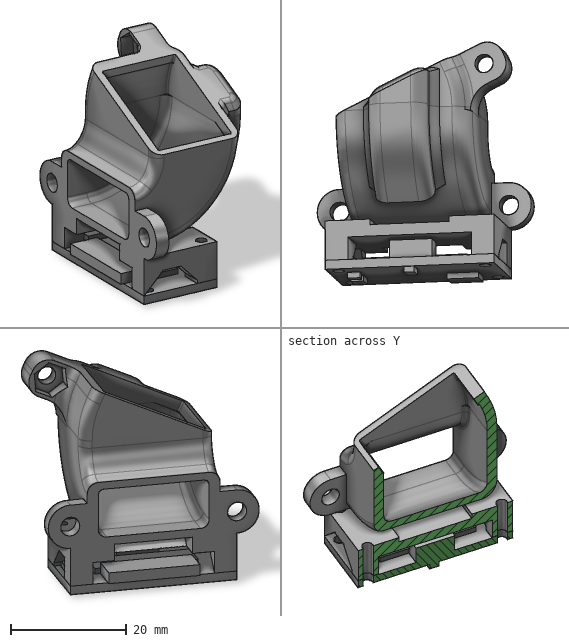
import cadquery as cq
import math


base_length = 29.95
base_width = 15.0
base_height = 7.0
screw_offset = 13.0
screw_inset = 2.0
screw_diameter = 2.0

cavity_half_length = 10.95
cavity_height = 3.98
window_front = 3.98
window_back = 10.93
window_back_height = 0.62
slot_half_length = 7.02
slot_floor = 6.0

flange_thickness = 2.58
ear_offset = 15.02
ear_radius = 3.98
ear_height = base_height + ear_radius
ear_hole_diameter = 3.4

wall = 1.5
duct_half_width = 11.98
bore_half_width = 10.0
duct_front = 4.0
duct_back = 22.0
throat_top = 18.65
throat_start = 23.6
throat_radius = 5.6
throat_blend_radius = 3.0
bend_y = duct_front
bend_z = base_height + duct_back - bend_y
front_rounding = 2.0
back_rounding = 3.0
bore_front_rounding = 1.0
bore_back_rounding = 1.52
bore_front_top = 17.32

mouth_angle = 25.0
pivot_x = 5.55
mouth_depth = 2.03
mouth_left = -9.7
mouth_right = 10.57
mouth_corner_radius = 0.3
bore_front = duct_front + wall
bore_back = duct_back - wall
bore_bottom = base_height + wall
bore_throat_radius = 6.32

lug_front = 15.5
lug_back = 20.5
lug_height = 7.0
lug_corner_radius = 3.0
lug_hole_diameter = 3.2
lug_hole_distance = 21.25
lug_end_distance = 25.05
lug_blend_radius = 5.0
lug_side_rounding = 2.0
nut_width = 5.6
nut_depth = 2.5
lug_root_distance = 14.05

rail_half_width = 5.23
rail_foot_half_width = 6.75
rail_back = 27.08
rail_neck_back = 23.6
rail_corner_radius = 2.5
rail_top_chamfer = 1.2
rail_top_rounding = 2.0
rail_sweep_angle = 45.0
rail_sink = 0.78

board_thickness = 1.6
chip_height = 1.0
board_parts = [
    (-8.25, 8.25, -0.5, 5.0, 2.0),
    (-3.8, 3.8, 10.55, 14.05, 3.28),
    (-9.25, 9.35, 5.0, 10.55, 1.0),
    (-13.9, -11.5, 5.23, 10.15, 1.0),
]
chips = [
    (-10.6, -5.0, 3.45, 7.25),
    (-0.75, 1.1, 11.9, 14.67),
    (9.55, 11.8, 9.9, 11.47),
    (9.55, 11.8, 5.07, 8.3),
]

tilt = math.radians(mouth_angle)
tilt_sin = math.sin(tilt)
tilt_cos = math.cos(tilt)
tolerance = 0.005
reach = 46.82


def box(x0, x1, y0, y1, z0, z1):
    return cq.Workplane("XY").box(x1 - x0, y1 - y0, z1 - z0, centered=False).translate((x0, y0, z0))


def across_x(profile, x0, x1):
    """Extrude a closed YZ profile from x0 to x1."""
    return profile.extrude(x1 - x0).translate((x0, 0, 0))


def along_y(profile, y0, y1):
    """Extrude a closed XZ profile from y0 to y1."""
    return profile.extrude(y0 - y1).translate((0, y0, 0))


def leaning(u, v):
    """XZ point at distance u along the mouth plane and v square to it, from the pivot."""
    return (pivot_x + u * tilt_cos + v * tilt_sin, bend_z - u * tilt_sin + v * tilt_cos)


def leaning_plane():
    return cq.Plane((pivot_x, 0, bend_z), (tilt_cos, 0, -tilt_sin), (tilt_sin, 0, tilt_cos))


def above_mouth():
    """Everything beyond the sloping mouth plane."""
    return cq.Workplane(leaning_plane()).workplane(offset=mouth_depth).rect(4 * reach, 4 * reach).extrude(reach)


def turned(section):
    """Turn a closed section, drawn at bend_z left of the pivot, about the pivot by mouth_angle."""
    face = cq.Face.makeFromWires(section.val())
    axis_start = cq.Vector(pivot_x, 0, bend_z)
    axis_end = cq.Vector(pivot_x, 0.4, bend_z)
    return cq.Workplane(cq.Solid.revolve(face, mouth_angle, axis_start, axis_end))


def bent_upwards(section):
    """Turn a section about the pivot and carry it straight on to the mouth plane."""
    face = cq.Face.makeFromWires(section.val())
    axis_start = cq.Vector(pivot_x, 0, bend_z)
    axis_end = cq.Vector(pivot_x, 0.4, bend_z)
    leaning_face = face.rotate(axis_start, axis_end, mouth_angle)
    straight = cq.Solid.extrudeLinear(leaning_face, leaning_plane().zDir * mouth_depth)
    return turned(section).union(cq.Workplane(straight))


def bend_workplane():
    return cq.Workplane("XY", origin=(0, 0, bend_z))


def half_section(side_x, front, back, front_radius, back_radius):
    """Section at bend_z from the pivot to a side wall, with the two corners at that wall rounded."""
    inward = math.copysign(1, pivot_x - side_x)
    return (
        bend_workplane()
        .moveTo(pivot_x, front)
        .lineTo(side_x + inward * front_radius, front)
        .radiusArc((side_x, front + front_radius), inward * front_radius)
        .lineTo(side_x, back - back_radius)
        .radiusArc((side_x + inward * back_radius, back), inward * back_radius)
        .lineTo(pivot_x, back)
        .close()
    )


def throat_points():
    """Ends of the two tangent arcs of the throat, from the front face to the straight front wall."""
    main_y = duct_front - throat_radius
    drop = throat_start - throat_top - throat_blend_radius
    spread = throat_radius - throat_blend_radius
    blend_y = main_y + math.sqrt(spread**2 - drop**2)
    meet_y = main_y + throat_radius * (blend_y - main_y) / spread
    meet_z = throat_start - throat_radius * drop / spread
    return (blend_y, throat_top), (meet_y, meet_z), (duct_front, throat_start)


def round_side_edges(elbow, side_x, radius, on_curve):
    """Round the edges along one side of an elbow whose (y, z) middle point is on the wanted curve."""
    edges = []
    for edge in elbow.edges().vals():
        centre = edge.Center()
        if abs(centre.x - side_x) < tolerance and on_curve(centre.y, centre.z):
            edges.append(edge)
    return elbow.newObject(edges).fillet(radius)


def on_outer_front_curve(y, z):
    return y < duct_front + tolerance and z > throat_top - tolerance


def on_bore_front_curve(y, z):
    return 0 < y < bore_front + tolerance and z > bore_front_top


def on_back_curve(y, z):
    on_bottom = y < bend_y and z < bore_bottom + tolerance
    return z < bend_z - tolerance and (on_bottom or y > bore_front + tolerance)


def outer_elbow():
    """Outside of the duct from the front face up to the bend."""
    blend_start, blend_end, throat_end = throat_points()
    profile = (
        cq.Workplane("YZ")
        .moveTo(0, base_height)
        .lineTo(0, throat_top)
        .lineTo(*blend_start)
        .radiusArc(blend_end, -throat_blend_radius)
        .radiusArc(throat_end, -throat_radius)
        .lineTo(duct_front, bend_z)
        .lineTo(duct_back, bend_z)
        .radiusArc((bend_y, base_height), duct_back - bend_y)
        .close()
    )
    elbow = across_x(profile, -duct_half_width, duct_half_width)
    for side_x in (-duct_half_width, duct_half_width):
        elbow = round_side_edges(elbow, side_x, front_rounding, on_outer_front_curve)
    elbow = round_side_edges(elbow, -duct_half_width, back_rounding, on_back_curve)
    return round_side_edges(elbow, duct_half_width, front_rounding, on_back_curve)


def outer_mouth():
    """Outside of the duct above the bend: the left half leans over, the right half stays upright."""
    left_section = half_section(-duct_half_width, duct_front, duct_back, front_rounding, back_rounding)
    right_section = half_section(duct_half_width, duct_front, duct_back, front_rounding, front_rounding)
    return bent_upwards(left_section).union(right_section.extrude(mouth_depth))


def bore_elbow():
    """Inside of the duct from the front face up to the bend."""
    profile = (
        cq.Workplane("YZ")
        .moveTo(0, bore_bottom)
        .lineTo(0, bore_front_top)
        .radiusArc((bore_front, throat_start), -bore_throat_radius)
        .lineTo(bore_front, bend_z)
        .lineTo(bore_back, bend_z)
        .radiusArc((bend_y, bore_bottom), bore_back - bend_y)
        .close()
    )
    elbow = across_x(profile, -bore_half_width, bore_half_width)
    for side_x in (-bore_half_width, bore_half_width):
        elbow = round_side_edges(elbow, side_x, bore_front_rounding, on_bore_front_curve)
        elbow = round_side_edges(elbow, side_x, bore_back_rounding, on_back_curve)
    return elbow


def bore_mouth():
    """Leaning rectangular opening, with the bend that leads into it."""
    bend_section = half_section(-bore_half_width, bore_front, bore_back, mouth_corner_radius, mouth_corner_radius)
    mouth_length = mouth_right - mouth_left
    opening = (
        cq.Workplane(leaning_plane())
        .center(mouth_right - pivot_x - mouth_length / 2, (bore_front + bore_back) / 2)
        .rect(mouth_length, bore_back - bore_front)
        .extrude(mouth_depth)
        .edges("#Y").edges(cq.selectors.ParallelDirSelector(leaning_plane().zDir))
        .fillet(mouth_corner_radius)
    )
    return turned(bend_section).union(opening)


def lug_profile():
    """Lug outline: a rounded end, and an arc that blends the underside into the duct wall."""
    top = mouth_depth
    bottom = mouth_depth - lug_height
    arc_x = -duct_half_width - lug_blend_radius
    arc_v = bottom - lug_blend_radius
    arc_z = bend_z + (arc_v - (arc_x - pivot_x) * tilt_sin) / tilt_cos
    arc_start = (arc_x + lug_blend_radius * tilt_sin, arc_z + lug_blend_radius * tilt_cos)
    arc_end = (-duct_half_width, arc_z)
    root_x = -duct_half_width + wall
    end_u = -lug_end_distance
    corner_u = end_u + lug_corner_radius
    return (
        cq.Workplane("XZ")
        .moveTo(*leaning(-lug_root_distance, top))
        .lineTo(*leaning(corner_u, top))
        .radiusArc(leaning(end_u, top - lug_corner_radius), -lug_corner_radius)
        .lineTo(*leaning(end_u, bottom + lug_corner_radius))
        .radiusArc(leaning(corner_u, bottom), -lug_corner_radius)
        .lineTo(*arc_start)
        .radiusArc(arc_end, lug_blend_radius)
        .lineTo(root_x, arc_z)
        .lineTo(root_x, bend_z)
        .close()
    )


def lug_side_fillets():
    """Concave blends of the lug's front and back faces into the duct wall and its rounded back corner."""
    wall_x = -duct_half_width
    r = lug_side_rounding
    front_section = (
        bend_workplane()
        .moveTo(wall_x - r, lug_front)
        .radiusArc((wall_x, lug_front - r), r)
        .lineTo(wall_x + wall, lug_front - r)
        .lineTo(wall_x + wall, lug_front + wall)
        .lineTo(wall_x - r, lug_front + wall)
        .close()
    )
    corner_x = wall_x + back_rounding
    corner_y = duct_back - back_rounding
    rise = lug_back + r - corner_y
    run = math.sqrt((r + back_rounding) ** 2 - rise**2)
    share = back_rounding / (r + back_rounding)
    tangent_x = corner_x - run * share
    tangent_y = corner_y + rise * share
    back_section = (
        bend_workplane()
        .moveTo(corner_x - run, lug_back)
        .radiusArc((tangent_x, tangent_y), -r)
        .lineTo(tangent_x, lug_back - wall)
        .lineTo(corner_x - run, lug_back - wall)
        .close()
    )
    blends = bent_upwards(front_section).union(bent_upwards(back_section))
    for section in (front_section, back_section):
        face = cq.Face.makeFromWires(section.val())
        blends = blends.union(cq.Workplane(cq.Solid.extrudeLinear(face, cq.Vector(0, 0, -wall))))
    return blends.intersect(along_y(lug_profile(), duct_front, duct_back))


def lug():
    return along_y(lug_profile(), lug_front, lug_back).union(lug_side_fillets())


def lug_hole_and_nut_pocket():
    """Screw hole through the lug, and the hexagonal pocket in its front with room to insert the nut."""
    hole_v = mouth_depth - lug_height / 2
    plane = cq.Plane((pivot_x, lug_front, bend_z), (tilt_cos, 0, -tilt_sin), (0, -1, 0))
    across_corners = nut_width / math.cos(math.pi / 6)
    centred = cq.Workplane(plane).center(-lug_hole_distance, hole_v)
    hole = centred.circle(lug_hole_diameter / 2).extrude(-(lug_back - lug_front))
    pocket = centred.polygon(6, across_corners).extrude(-nut_depth)
    clearance = centred.polygon(6, across_corners).extrude(lug_side_rounding)
    return hole.union(pocket).union(clearance)


def rail_section():
    """Rounded head on a foot that flares out at the duct wall and is sunk into it."""
    r = rail_corner_radius
    root_y = duct_back - rail_sink
    return (
        bend_workplane()
        .moveTo(-rail_foot_half_width, root_y)
        .lineTo(-rail_foot_half_width, duct_back)
        .lineTo(-rail_half_width, rail_neck_back)
        .lineTo(-rail_half_width, rail_back - r)
        .radiusArc((-rail_half_width + r, rail_back), r)
        .lineTo(rail_half_width - r, rail_back)
        .radiusArc((rail_half_width, rail_back - r), r)
        .lineTo(rail_half_width, rail_neck_back)
        .lineTo(rail_foot_half_width, duct_back)
        .lineTo(rail_foot_half_width, root_y)
        .close()
    )


def rail_rim(upright):
    """Edges of the rail's sloping top that stand clear of the duct wall."""
    top = upright.faces(cq.selectors.DirectionMinMaxSelector(leaning_plane().zDir))
    return [edge for edge in top.edges().vals() if edge.Center().y > duct_back + tolerance]


def rail():
    """Upright to the mouth plane, and swept along the back of the elbow below."""
    face = cq.Face.makeFromWires(rail_section().val())
    swept = cq.Solid.revolve(face, -rail_sweep_angle, cq.Vector(0, bend_y, bend_z), cq.Vector(0.4, bend_y, bend_z))
    upright = cq.Workplane(cq.Solid.extrudeLinear(face, cq.Vector(0, 0, reach))).cut(above_mouth())
    upright = upright.newObject(rail_rim(upright)).chamfer(rail_top_chamfer)
    upright = upright.newObject(rail_rim(upright)).fillet(rail_top_rounding)
    return upright.union(cq.Workplane(swept))


def flange():
    return (
        cq.Workplane("XZ")
        .center(0, ear_height)
        .slot2D(2 * (ear_offset + ear_radius), 2 * ear_radius)
        .extrude(-flange_thickness)
    )


def ear_holes():
    return (
        cq.Workplane("XZ")
        .pushPoints([(-ear_offset, ear_height), (ear_offset, ear_height)])
        .circle(ear_hole_diameter / 2)
        .extrude(-flange_thickness)
    )


def screw_holes(z0, z1):
    centre_y = base_width / 2
    half_pitch = base_width / 2 - screw_inset
    return (
        cq.Workplane("XY", origin=(0, centre_y, z0))
        .rect(2 * screw_offset, 2 * half_pitch, forConstruction=True)
        .vertices()
        .circle(screw_diameter / 2)
        .extrude(z1 - z0)
    )


def base():
    """Hollow block with side windows, and a ramped slot through its roof."""
    half = base_length / 2
    block = box(-half, half, 0, base_width, 0, base_height)
    cavity = box(-cavity_half_length, cavity_half_length, 0, base_width, 0, cavity_height)
    slope_run = cavity_height - window_back_height
    window = (
        cq.Workplane("YZ")
        .moveTo(window_front, 0)
        .lineTo(window_front, cavity_height)
        .lineTo(window_back - slope_run, cavity_height)
        .lineTo(window_back, window_back_height)
        .lineTo(window_back, 0)
        .close()
    )
    right_window_foot = (
        cq.Workplane("YZ")
        .moveTo(0, 0)
        .lineTo(window_front, cavity_height)
        .lineTo(window_front, 0)
        .close()
    )
    ramp_rise = slot_floor - cavity_height
    slot = (
        cq.Workplane("YZ")
        .moveTo(0, cavity_height)
        .lineTo(window_front, cavity_height)
        .lineTo(window_front + ramp_rise, slot_floor)
        .lineTo(base_width, slot_floor)
        .lineTo(base_width, base_height)
        .lineTo(0, base_height)
        .close()
    )
    return (
        block.cut(cavity)
        .cut(across_x(window, -half, half))
        .cut(across_x(right_window_foot, cavity_half_length, half))
        .cut(across_x(slot, -slot_half_length, slot_half_length))
        .cut(screw_holes(0, base_height))
    )


def make_housing():
    duct = outer_elbow().union(outer_mouth()).union(rail()).union(lug()).cut(above_mouth())
    body = duct.union(flange()).cut(bore_elbow()).cut(bore_mouth())
    body = body.cut(lug_hole_and_nut_pocket()).cut(ear_holes())
    return body.union(base())


def make_board():
    half = base_length / 2
    board = box(-half, half, 0, base_width, -board_thickness, 0)
    board = board.cut(screw_holes(-board_thickness, 0))
    for x0, x1, y0, y1, height in board_parts:
        board = board.union(box(x0, x1, y0, y1, 0, height))
    for x0, x1, y0, y1 in chips:
        board = board.union(box(x0, x1, y0, y1, -board_thickness - chip_height, -board_thickness))
    return board


housing = make_housing()
board = make_board()
result = cq.Compound.makeCompound([housing.val(), board.val()])